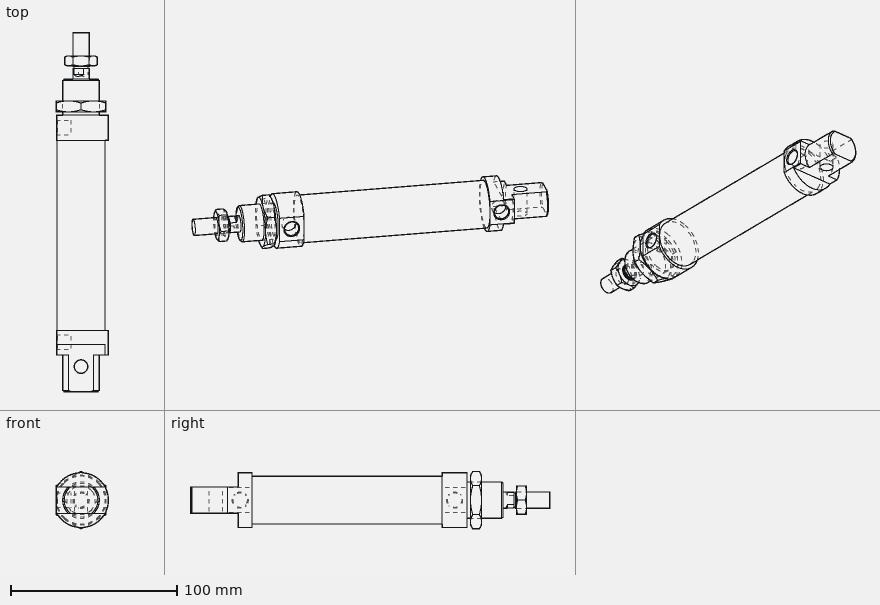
import cadquery as cq
import math

overall_length = 216

lug_shoulder = 22.0
head_slice_end = 28.5
rear_head_end = 37.0
front_head_start = 151.2
front_head_end = 166.3
mount_nut_start = 168.3
mount_nut_thickness = 6.7
nose_end = 188
flat_start = 189.6
flat_end = 194.5
rod_thread_start = 195.5
rod_nut_start = 196.0
rod_nut_thickness = 6.0

tube_diameter = 29.0
head_diameter = 33.0
port_face_x = -14.7
nose_diameter = 22.0
nose_chamfer = 0.9

lug_diameter = 22.0
lug_thickness = 16.0
lug_chamfer = 0.9
pin_hole_diameter = 8.0
pin_hole_y = 15.1

port_diameter = 8.6
port_countersink = 0.55
port_depth = 8.6
rear_port_y = 29.8
front_port_y = (front_head_start + front_head_end) / 2

rod_diameter = 10.0
undercut_diameter = 8.6
rod_flat_width = 8.0
rod_flat_tilt = 20

hexagon_sides = 6
mount_nut_width = 30.0
rod_nut_width = 17.0
nut_chamfer_angle = 30


def cylinder(diameter, start, end):
    """Solid cylinder along the axis from Y = start to Y = end."""
    return cq.Workplane("XZ", origin=(0, start, 0)).circle(diameter / 2).extrude(start - end)


def port(position):
    """Blind round port drilled in the +X direction from the flat port face, with a countersunk rim."""
    face = cq.Workplane("YZ", origin=(port_face_x, position, 0))
    drilling = face.circle(port_diameter / 2).extrude(port_depth)
    countersink = (
        face.circle(port_diameter / 2 + port_countersink)
        .workplane(offset=port_countersink)
        .circle(port_diameter / 2)
        .loft()
    )
    return drilling.union(countersink)


def head(start, end):
    """Round head with one side cut flat for the port."""
    flat_cut = (
        cq.Workplane("XY")
        .box(head_diameter, end - start, head_diameter, centered=(False, False, True))
        .translate((port_face_x - head_diameter, start, 0))
    )
    return cylinder(head_diameter, start, end).cut(flat_cut)


def make_housing():
    """Barrel with its two heads, the nose in front and the pin lug at the tail, as one solid."""
    lug_slab = cq.Workplane("XY").box(
        head_diameter, head_slice_end, lug_thickness, centered=(True, False, True)
    )
    lug = cylinder(lug_diameter, 0, lug_shoulder).faces("<Y").chamfer(lug_chamfer)
    head_slice = head(lug_shoulder, head_slice_end)
    tail = lug.union(head_slice).intersect(lug_slab)
    pin_hole = (
        cq.Workplane("XY")
        .center(0, pin_hole_y)
        .circle(pin_hole_diameter / 2)
        .extrude(lug_thickness, both=True)
    )

    nose = cylinder(nose_diameter, front_head_end, nose_end).faces(">Y").chamfer(nose_chamfer)
    return (
        tail.cut(pin_hole)
        .union(head(head_slice_end, rear_head_end))
        .union(cylinder(tube_diameter, rear_head_end, front_head_start))
        .union(head(front_head_start, front_head_end))
        .union(nose)
        .cut(port(rear_port_y))
        .cut(port(front_port_y))
    )


def make_rod():
    """Piston rod, starting at the nose face, with two wrench flats and an undercut before its thread."""
    flat_depth = (rod_diameter - rod_flat_width) / 2
    flat_height = rod_flat_width / 2
    flat_cutter = (
        cq.Workplane("YZ")
        .moveTo(flat_start, flat_height + flat_depth)
        .lineTo(flat_start + flat_depth, flat_height)
        .lineTo(flat_end, flat_height)
        .lineTo(flat_end, flat_height + flat_depth)
        .close()
        .extrude(rod_diameter, both=True)
    )
    shank = cylinder(rod_diameter, nose_end, flat_end)
    for angle in (0, 180):
        shank = shank.cut(flat_cutter.rotate((0, 0, 0), (0, 1, 0), angle - rod_flat_tilt))
    return (
        shank.union(cylinder(undercut_diameter, flat_end, rod_thread_start))
        .union(cylinder(rod_diameter, rod_thread_start, overall_length))
    )


def make_nut(width, thickness, bore, start, corner_angle):
    """Hexagon nut on the axis with both faces chamfered down to a circle as wide as its flats."""
    corner_diameter = width / math.cos(math.pi / hexagon_sides)
    chamfer_radial = (corner_diameter - width) / 2
    chamfer_axial = chamfer_radial * math.tan(math.radians(nut_chamfer_angle))
    hexagon = (
        cq.Workplane("XZ", origin=(0, start, 0))
        .polygon(hexagon_sides, corner_diameter)
        .extrude(-thickness)
        .rotate((0, 0, 0), (0, 1, 0), corner_angle)
    )
    chamfered_blank = (
        cylinder(corner_diameter, start, start + thickness)
        .faces("<Y or >Y")
        .chamfer(chamfer_axial, chamfer_radial)
    )
    return hexagon.intersect(chamfered_blank).cut(cylinder(bore, start, start + thickness))


housing = make_housing()
rod = make_rod()
mount_nut = make_nut(
    width=mount_nut_width,
    thickness=mount_nut_thickness,
    bore=nose_diameter,
    start=mount_nut_start,
    corner_angle=90,
)
rod_nut = make_nut(
    width=rod_nut_width,
    thickness=rod_nut_thickness,
    bore=rod_diameter,
    start=rod_nut_start,
    corner_angle=0,
)

result = cq.Compound.makeCompound([housing.val(), rod.val(), mount_nut.val(), rod_nut.val()])